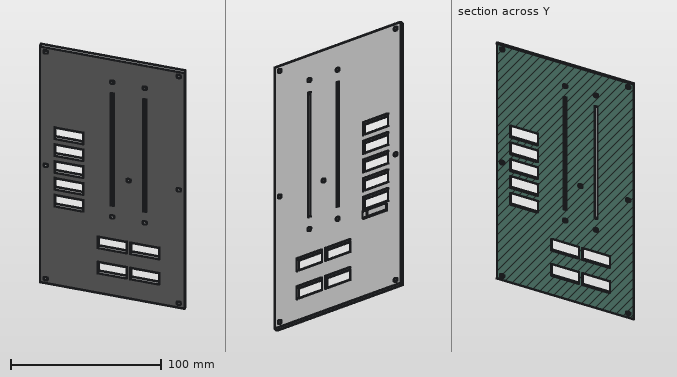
import cadquery as cq

panel_width = 100.0
panel_height = 210.0
panel_thickness = 3.0

hole_diameter = 3.0
screw_edge_margin = 4.0
screw_x = panel_width / 2 - screw_edge_margin
screw_z = panel_height / 2 - screw_edge_margin

slider_pitch = 22.5
slider_xs = (0, slider_pitch)
slider_centre_z = 25.0
slot_width = 2.0
slot_length = 100.0
slider_hole_spacing = 120.0

window_width = 20.0
window_height = 10.0
column_x = -30.0
column_count = 5
column_span = 60.0
column_pitch = column_span / (column_count - 1)
grid_top_z = -60.0
grid_row_count = 2

label_relief = 1.0
label_bottom_z = -42.6
label_top_z = -37.4
label_x_ranges = ((-39.0, -24.5), (-23.5, -20.5))


def box_between(x_range, y_range, z_range):
    """Axis-aligned box filling the given coordinate ranges."""
    size = [high - low for low, high in (x_range, y_range, z_range)]
    corner = (x_range[0], y_range[0], z_range[0])
    return cq.Workplane("XY").box(*size, centered=False).translate(corner)


def rectangular_cutters(centres, width, height):
    """Through-thickness rectangular prisms at the (x, z) centres."""
    plane = cq.Workplane("XZ").pushPoints(centres)
    return plane.rect(width, height).extrude(-panel_thickness)


def round_cutters(centres, diameter):
    """Through-thickness cylinders at the (x, z) centres."""
    plane = cq.Workplane("XZ").pushPoints(centres)
    return plane.circle(diameter / 2).extrude(-panel_thickness)


screw_centres = [(x, z) for x in (-screw_x, screw_x) for z in (-screw_z, 0, screw_z)]
screw_centres.append((slider_pitch / 2, 0))

slot_centres = [(x, slider_centre_z) for x in slider_xs]
slider_hole_centres = [
    (x, slider_centre_z + side * slider_hole_spacing / 2)
    for x in slider_xs
    for side in (-1, 1)
]

column_centres = [
    (column_x, (row - (column_count - 1) / 2) * column_pitch)
    for row in range(column_count)
]
grid_centres = [
    (x, grid_top_z - row * slider_pitch)
    for x in slider_xs
    for row in range(grid_row_count)
]

result = box_between(
    (-panel_width / 2, panel_width / 2),
    (0, panel_thickness),
    (-panel_height / 2, panel_height / 2),
)
result = result.cut(round_cutters(screw_centres + slider_hole_centres, hole_diameter))
result = result.cut(rectangular_cutters(slot_centres, slot_width, slot_length))
result = result.cut(rectangular_cutters(column_centres + grid_centres, window_width, window_height))

for x_range in label_x_ranges:
    label_block = box_between(
        x_range,
        (panel_thickness, panel_thickness + label_relief),
        (label_bottom_z, label_top_z),
    )
    result = result.union(label_block)